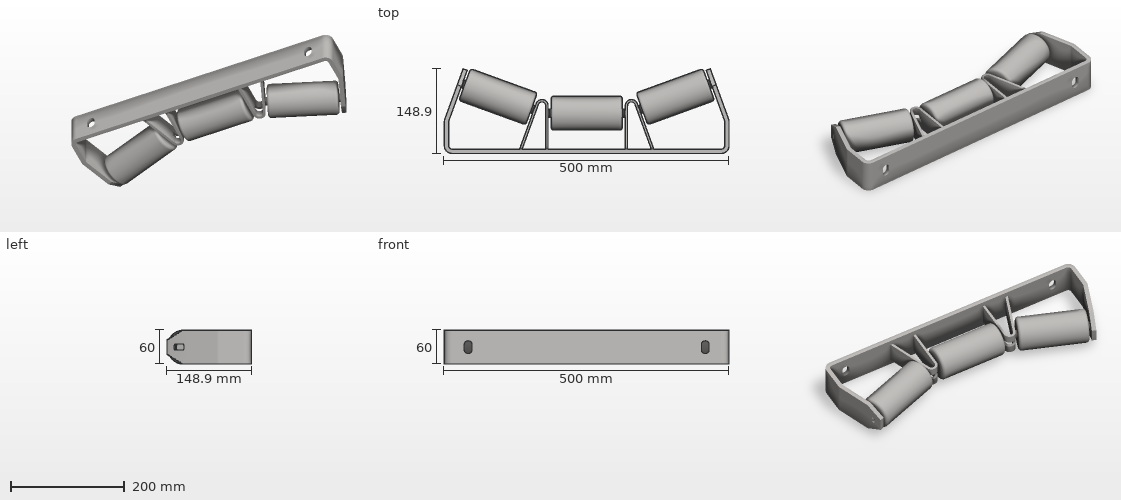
import cadquery as cq
import math


FRAME_LENGTH = 500.0
FRAME_DEPTH = 148.92
TROUGH_ANGLE = math.radians(20.0)
SIN_TROUGH = math.sin(TROUGH_ANGLE)
COS_TROUGH = math.cos(TROUGH_ANGLE)

FRAME_WIDTH = 60.0
FRAME_THICKNESS = 8.0
FRAME_BEND_RADIUS = 14.0
ARM_CORNER_Y = 58.2
ARM_TIP_CUT_LENGTH = 30.0
ARM_TIP_CUT_ANGLE = math.radians(30.0)
ARM_TIP_CUT_HEIGHT = ARM_TIP_CUT_LENGTH * math.tan(ARM_TIP_CUT_ANGLE)
MOUNT_SLOT_SPACING = 416.0
MOUNT_SLOT_LENGTH = 22.5
MOUNT_SLOT_WIDTH = 14.0

ROLLER_LENGTH = 125.0
ROLLER_DIAMETER = 60.0
ROLLER_EDGE_RADIUS = 5.0
SHAFT_DIAMETER = 15.0
SHAFT_FLAT_WIDTH = 10.5
SHOULDER_LENGTH = 131.0
MIDDLE_ROLLER_Y = 71.0
SIDE_ROLLER_ARM_Y = 125.3

BRACKET_WIDTH = 40.0
BRACKET_THICKNESS = 4.5
BRACKET_BEND_RADIUS = 11.0
BRACKET_LEG_X = 67.5
BRACKET_HEIGHT_Y = 95.0

ARM_SLOT_TRAVEL = 4.5
BRACKET_SLOT_TRAVEL = 30.0


def strip(path, start, thickness, width):
    """Flat strip swept along a path; start is the workplane across the path's first point."""
    return start.rect(thickness, width).sweep(path)


def shaft_section(plane, start=0.0, travel=0.0):
    """Flatted shaft outline at a distance along the axis; travel stretches it along local X into a slot."""
    half_flat = SHAFT_FLAT_WIDTH / 2
    radius = SHAFT_DIAMETER / 2
    flat_end = math.sqrt(radius**2 - half_flat**2)
    return (
        cq.Workplane(plane)
        .workplane(offset=start)
        .moveTo(-flat_end, -half_flat)
        .lineTo(flat_end + travel, -half_flat)
        .threePointArc((radius + travel, 0), (flat_end + travel, half_flat))
        .lineTo(-flat_end, half_flat)
        .threePointArc((-radius, 0), (-flat_end, -half_flat))
        .close()
    )


def mirrored(body):
    """Copy of left-hand geometry on the right-hand side."""
    return body.mirror("YZ")


arm_direction = cq.Vector(SIN_TROUGH, COS_TROUGH, 0)
arm_inward = cq.Vector(COS_TROUGH, -SIN_TROUGH, 0)
arm_corner = cq.Vector(-FRAME_LENGTH / 2, ARM_CORNER_Y, 0)
arm_length = (FRAME_DEPTH - ARM_CORNER_Y) / COS_TROUGH
arm_tip = arm_corner + arm_direction * arm_length

hoop_centre = cq.Vector(
    -BRACKET_LEG_X - BRACKET_BEND_RADIUS,
    BRACKET_HEIGHT_Y - BRACKET_BEND_RADIUS,
    0,
)
leg_face_point = hoop_centre - arm_inward * BRACKET_BEND_RADIUS

axis_at_arm = arm_corner + arm_direction * ((SIDE_ROLLER_ARM_Y - ARM_CORNER_Y) / COS_TROUGH)
side_gap = (leg_face_point - axis_at_arm).dot(arm_inward) - FRAME_THICKNESS
side_end_to_arm = side_gap / 2 + FRAME_THICKNESS
side_end_to_bracket = side_gap / 2 + BRACKET_THICKNESS
side_roller_centre = axis_at_arm + arm_inward * side_end_to_arm
middle_end_to_bracket = BRACKET_LEG_X + BRACKET_THICKNESS

side_plane = cq.Plane(side_roller_centre, xDir=arm_direction, normal=arm_inward)
middle_plane = cq.Plane((0, MIDDLE_ROLLER_Y, 0), xDir=(0, 1, 0), normal=(1, 0, 0))


def make_roller(plane, end_before, end_after):
    """Roller with its fixed shaft; the flatted shaft ends reach the given distances from the middle."""
    drum = (
        cq.Workplane(plane)
        .workplane(offset=-ROLLER_LENGTH / 2)
        .circle(ROLLER_DIAMETER / 2)
        .extrude(ROLLER_LENGTH)
        .edges()
        .fillet(ROLLER_EDGE_RADIUS)
    )
    shoulder = (
        cq.Workplane(plane)
        .workplane(offset=-SHOULDER_LENGTH / 2)
        .circle(SHAFT_DIAMETER / 2)
        .extrude(SHOULDER_LENGTH)
    )
    flatted_shaft = shaft_section(plane, start=-end_before).extrude(end_before + end_after)
    return drum.union(shoulder).union(flatted_shaft)


def shaft_slot(plane, reach, travel):
    """Cutter for a shaft slot, from the roller middle out through the supporting wall."""
    return shaft_section(plane, travel=travel).extrude(reach)


def make_frame():
    half_thickness = FRAME_THICKNESS / 2
    bend = FRAME_BEND_RADIUS - half_thickness
    wall_x = half_thickness - FRAME_LENGTH / 2
    bend_middle = bend * (1 - math.cos(math.radians(45.0)))
    arm_setback = FRAME_BEND_RADIUS * math.tan(TROUGH_ANGLE / 2)
    arm_bend_start_y = ARM_CORNER_Y - arm_setback
    arm_bend_end = arm_corner + arm_direction * arm_setback + arm_inward * half_thickness
    arm_end = arm_tip + arm_inward * half_thickness
    path = (
        cq.Workplane("XY")
        .moveTo(0, half_thickness)
        .lineTo(wall_x + bend, half_thickness)
        .threePointArc(
            (wall_x + bend_middle, half_thickness + bend_middle),
            (wall_x, half_thickness + bend),
        )
        .lineTo(wall_x, arm_bend_start_y)
        .tangentArcPoint((arm_bend_end.x, arm_bend_end.y), relative=False)
        .lineTo(arm_end.x, arm_end.y)
    )
    left_half = strip(path, cq.Workplane("YZ").center(half_thickness, 0), FRAME_THICKNESS, FRAME_WIDTH)

    tip_plane = cq.Plane(arm_tip, xDir=arm_direction, normal=arm_inward)
    half_width = FRAME_WIDTH / 2
    for side in (1, -1):
        corner = (
            cq.Workplane(tip_plane)
            .moveTo(0, side * half_width)
            .lineTo(-ARM_TIP_CUT_LENGTH, side * half_width)
            .lineTo(0, side * (half_width - ARM_TIP_CUT_HEIGHT))
            .close()
            .extrude(FRAME_THICKNESS)
        )
        left_half = left_half.cut(corner)

    left_half = left_half.cut(shaft_slot(side_plane, -side_end_to_arm, ARM_SLOT_TRAVEL))
    mount_slot = (
        cq.Workplane("XZ")
        .center(-MOUNT_SLOT_SPACING / 2, 0)
        .slot2D(MOUNT_SLOT_LENGTH, MOUNT_SLOT_WIDTH, 90)
        .extrude(-FRAME_THICKNESS)
    )
    left_half = left_half.cut(mount_slot)
    return left_half.union(mirrored(left_half))


def make_left_bracket():
    """Upright leg, hoop and sloping leg standing on the frame base."""
    neutral_radius = BRACKET_BEND_RADIUS - BRACKET_THICKNESS / 2
    upright_x = hoop_centre.x + neutral_radius
    hoop_end = hoop_centre - arm_inward * neutral_radius
    leg_end = hoop_end - arm_direction * (hoop_end.y / COS_TROUGH)
    path = (
        cq.Workplane("XY")
        .moveTo(upright_x, FRAME_THICKNESS)
        .lineTo(upright_x, hoop_centre.y)
        .tangentArcPoint((hoop_end.x, hoop_end.y), relative=False)
        .lineTo(leg_end.x, leg_end.y)
    )
    start = cq.Workplane("XZ", origin=(upright_x, FRAME_THICKNESS, 0))
    crown_slot = (
        cq.Workplane("XY")
        .box(2 * BRACKET_BEND_RADIUS, 2 * BRACKET_BEND_RADIUS, SHAFT_FLAT_WIDTH)
        .translate(hoop_centre + cq.Vector(0, BRACKET_BEND_RADIUS, 0))
    )
    base_space = cq.Workplane("XY").box(FRAME_LENGTH, 2 * FRAME_THICKNESS, FRAME_WIDTH)
    return (
        strip(path, start, BRACKET_THICKNESS, BRACKET_WIDTH)
        .cut(base_space)
        .cut(crown_slot)
        .cut(shaft_slot(side_plane, side_end_to_bracket, BRACKET_SLOT_TRAVEL))
        .cut(shaft_slot(middle_plane, -middle_end_to_bracket, BRACKET_SLOT_TRAVEL))
    )


frame = make_frame()
left_bracket = make_left_bracket()
left_roller = make_roller(side_plane, side_end_to_arm, side_end_to_bracket)
middle_roller = make_roller(middle_plane, middle_end_to_bracket, middle_end_to_bracket)

bodies = [frame, middle_roller]
for left_body in (left_bracket, left_roller):
    bodies += [left_body, mirrored(left_body)]

result = cq.Compound.makeCompound([body.solids().val() for body in bodies])